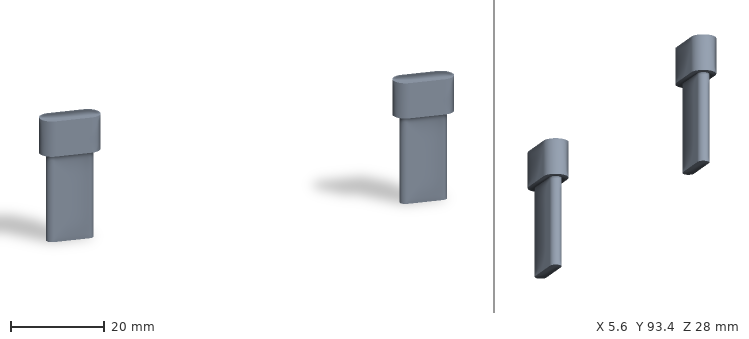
import cadquery as cq

overall_length = 93.4
overall_height = 28.0
straight_length = 8.0
head_width = 5.6
head_height = 8.0
blade_width = 2.6

head_length = straight_length + head_width
blade_length = straight_length + blade_width
blade_height = overall_height - head_height
key_offset = (overall_length - head_length) / 2


def rounded_bar(length, width, height, base_z):
    """Upright bar with a full-round slot outline, long side along Y."""
    return cq.Workplane("XY").workplane(offset=base_z).slot2D(length, width, 90).extrude(height)


def make_key(center_y):
    """One key: a thin blade below a wider head, both with rounded ends."""
    blade = rounded_bar(blade_length, blade_width, blade_height, 0)
    head = rounded_bar(head_length, head_width, head_height, blade_height)
    return blade.union(head).translate((0, center_y, 0))


keys = [make_key(center_y) for center_y in (-key_offset, key_offset)]

result = cq.Compound.makeCompound([key.val().Solids()[0] for key in keys])